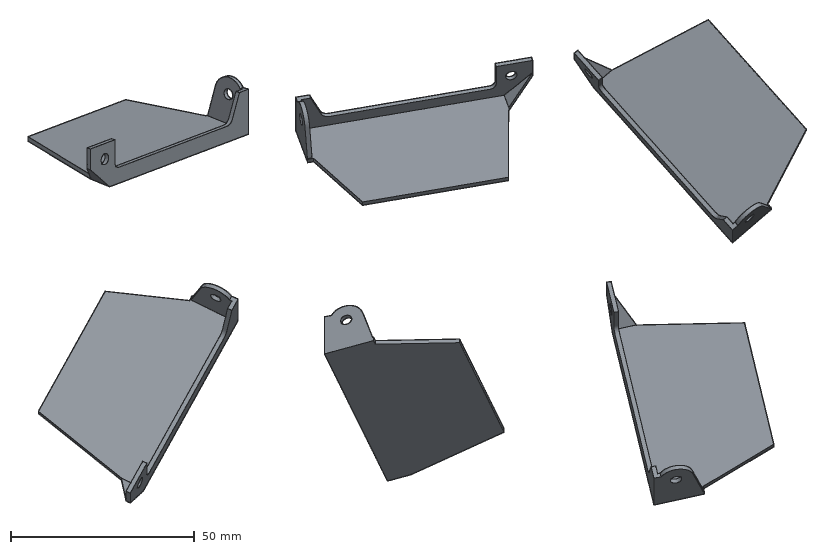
import cadquery as cq
import math

sheet = 1.3
total_width = 35.35
total_length = 66.0
total_height = 15.36
overshoot = 1.0

plate_tilt = 5.5
plate_depth = sheet / math.cos(math.radians(plate_tilt))
plate_back_width = 14.0
plate_back_edge = 1.65
plate_left_start = 10.25
plate_left_end = 51.1
gusset_width = 6.7
bend_y = -58.0
gusset_rise = 6.95

wall_embed = sheet / 2
wall_top = 13.0
rail_top = 4.65
back_lug_top_length = 3.85
back_lug_foot_y = -7.45
front_lug_y = -55.8
back_fillet = 2.6
front_fillet = 1.75

ear_radius = 4.9
ear_x = -6.18
ear_z = total_height - ear_radius
ear_foot_x = -13.68

hole_diameter = 3.1
wall_hole_y = -60.0
wall_hole_z = 8.5


def plate_bottom(x):
    """Height of the plate's underside at x."""
    return -x * math.tan(math.radians(plate_tilt))


def make_plate():
    """Sloping plate cut to its plan outline."""
    left_z = plate_bottom(-total_width)
    slab = (
        cq.Workplane("XZ")
        .polyline([
            (0, 0),
            (0, plate_depth),
            (-total_width, left_z + plate_depth),
            (-total_width, left_z),
        ])
        .close()
        .extrude(-bend_y)
    )
    outline = (
        cq.Workplane("XY")
        .polyline([
            (0, 0),
            (-plate_back_width, 0),
            (-plate_back_width, -plate_back_edge),
            (-total_width, -plate_left_start),
            (-total_width, -plate_left_end),
            (-gusset_width, bend_y),
            (0, bend_y),
        ])
        .close()
        .extrude(total_height)
    )
    return slab.intersect(outline)


def make_gusset():
    """Triangular continuation of the plate, bent up towards the front end of the wall."""
    corners = [
        (0, bend_y, 0),
        (-gusset_width, bend_y, plate_bottom(-gusset_width)),
        (-sheet, -total_length, plate_bottom(-sheet) + gusset_rise),
        (0, -total_length, gusset_rise),
    ]
    bottom = cq.Face.makeFromWires(cq.Wire.makePolygon([cq.Vector(*c) for c in corners], close=True))
    return cq.Workplane(cq.Solid.extrudeLinear(bottom, cq.Vector(0, 0, plate_depth)))


def make_wall():
    """Upright wall with a raised lug at each end and a low rail between them."""
    wall = (
        cq.Workplane("YZ")
        .polyline([
            (0, wall_embed),
            (0, wall_top),
            (-back_lug_top_length, wall_top),
            (back_lug_foot_y, rail_top),
            (front_lug_y, rail_top),
            (front_lug_y, wall_top),
            (-total_length, wall_top),
            (-total_length, gusset_rise + wall_embed),
            (bend_y, wall_embed),
        ])
        .close()
        .extrude(-sheet)
    )
    for corner_y, radius in ((back_lug_foot_y, back_fillet), (front_lug_y, front_fillet)):
        corner = cq.selectors.NearestToPointSelector((-sheet / 2, corner_y, rail_top))
        wall = wall.edges("|X").edges(corner).fillet(radius)
    hole = (
        cq.Workplane("YZ", origin=(overshoot, 0, 0))
        .center(wall_hole_y, wall_hole_z)
        .circle(hole_diameter / 2)
        .extrude(-sheet - 2 * overshoot)
    )
    return wall.cut(hole)


def make_ear():
    """Rounded ear across the back edge, its sloping side tangent to the round top."""
    foot_z = plate_bottom(ear_foot_x) + plate_depth
    run = ear_x - ear_foot_x
    rise = ear_z - foot_z
    to_foot = math.atan2(-rise, -run)
    tangent_angle = to_foot - math.acos(ear_radius / math.hypot(run, rise))
    tangent_point = (
        ear_x + ear_radius * math.cos(tangent_angle),
        ear_z + ear_radius * math.sin(tangent_angle),
    )
    shoulder_x = ear_x + math.sqrt(ear_radius**2 - (wall_top - ear_z) ** 2)
    return (
        cq.Workplane("XZ")
        .moveTo(0, wall_embed)
        .lineTo(ear_foot_x, plate_bottom(ear_foot_x))
        .lineTo(ear_foot_x, foot_z)
        .lineTo(*tangent_point)
        .threePointArc((ear_x, total_height), (shoulder_x, wall_top))
        .lineTo(0, wall_top)
        .close()
        .extrude(sheet)
        .cut(
            cq.Workplane("XZ", origin=(0, overshoot, 0))
            .center(ear_x, ear_z)
            .circle(hole_diameter / 2)
            .extrude(sheet + 2 * overshoot)
        )
    )


result = make_plate().union(make_gusset()).union(make_wall()).union(make_ear())